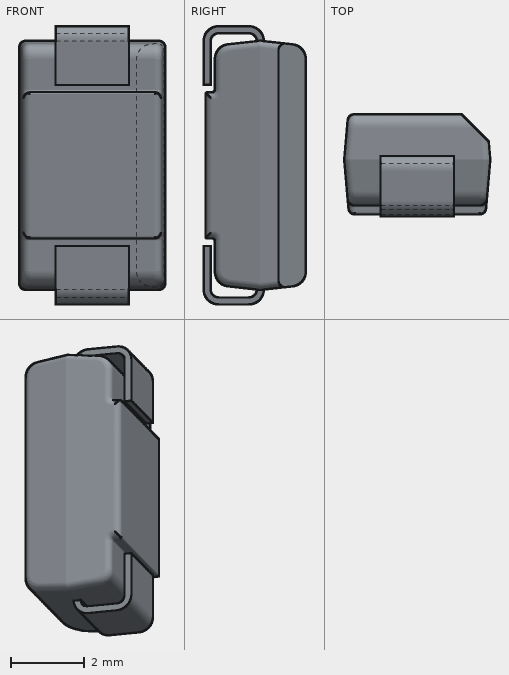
import cadquery as cq
import math

body_width = 4.0
body_height = 6.81
body_depth = 1.25
side_draft = 5.0
end_draft = 6.3
end_radius = 0.42
side_edge_radius = 0.2

pad_front = -1.5
pad_height = 4.0
pad_root_radius = 0.06
pad_edge_radius = 0.06
rough_allowance = 0.76

bevel_start_x = 1.21

tolerance = 0.01
side_normal_limit = 0.9

lead_width = 2.0
lead_thickness = 0.2
lead_back = 0.1
lead_front = -1.55
lead_top = 3.8
lead_tip = 2.2
lead_bend_radius = 0.41
lead_embed = 0.23


def drafted_sides(front_y, height):
    """Prism between the two X sides, each tapering away from the parting plane."""
    draft_slope = math.tan(math.radians(side_draft))
    half_width = body_width / 2
    back_half_width = half_width - body_depth * draft_slope
    front_half_width = half_width + front_y * draft_slope
    return (
        cq.Workplane("XY")
        .polyline([
            (half_width, 0),
            (back_half_width, body_depth),
            (-back_half_width, body_depth),
            (-half_width, 0),
            (-front_half_width, front_y),
            (front_half_width, front_y),
        ])
        .close()
        .extrude(height / 2, both=True)
    )


def make_body():
    """Tapered body with an overlong pad, rounded along the outline of both X sides."""
    half_height = body_height / 2
    end_face_height = half_height - body_depth * math.tan(math.radians(end_draft))
    tapered = (
        cq.Workplane("YZ")
        .polyline([
            (0, half_height),
            (body_depth, end_face_height),
            (body_depth, -end_face_height),
            (0, -half_height),
            (-body_depth, -end_face_height),
            (-body_depth, end_face_height),
        ])
        .close()
        .extrude(body_width / 2, both=True)
    )
    tapered = tapered.edges("|X and (>Y or <Y)").fillet(end_radius)

    rough_front = pad_front - rough_allowance
    pad = cq.Workplane("XY").box(body_width, -rough_front, pad_height).translate((0, rough_front / 2, 0))
    block = tapered.union(pad)
    root_edges = cq.selectors.BoxSelector(
        (-body_width, -body_depth - tolerance, -pad_height / 2 - tolerance),
        (body_width, -body_depth + tolerance, pad_height / 2 + tolerance),
    )
    block = block.edges("|X").edges(root_edges).fillet(pad_root_radius)
    block = block.intersect(drafted_sides(rough_front, body_height))

    outline = []
    for side in (-1, 1):
        side_faces = [f for f in block.faces().vals() if f.normalAt().x * side > side_normal_limit]
        for face in side_faces:
            for edge in face.Edges():
                edge_y = edge.Center().y
                if abs(edge_y) > tolerance and edge_y > rough_front + tolerance:
                    outline.append(edge)
    return block.newObject(outline).fillet(side_edge_radius)


def finish_pad(body):
    """Trim the pad to its front face, rounded towards the X sides and the pad ends."""
    envelope = drafted_sides(pad_front, body_height).faces("<Y").edges("|Z").fillet(side_edge_radius)
    pad_limit = (
        cq.Workplane("XY")
        .box(body_width, -pad_front, pad_height)
        .translate((0, pad_front / 2, 0))
        .faces("<Y").edges("|X").fillet(pad_edge_radius)
    )
    root_depth = body_depth + pad_root_radius
    body_limit = cq.Workplane("XY").box(body_width, 2 * root_depth, body_height)
    return body.intersect(envelope).intersect(body_limit.union(pad_limit))


def bevel_back_corner(body):
    """Cut the back corner on the +X side along the whole height."""
    far_x = bevel_start_x + 2 * body_depth
    cutter = (
        cq.Workplane("XY")
        .polyline([(bevel_start_x, body_depth), (far_x, body_depth), (far_x, -body_depth)])
        .close()
        .extrude(body_height / 2, both=True)
    )
    return body.cut(cutter)


def make_lead():
    """Upper lead: leaves the end of the body and folds down in front of it."""
    root_z = body_height / 2 - lead_embed
    inner_radius = lead_bend_radius - lead_thickness
    back_bend_y = lead_back - lead_bend_radius
    front_bend_y = lead_front + lead_bend_radius
    bend_z = lead_top - lead_bend_radius
    diagonal = math.sqrt(0.5)
    outer = lead_bend_radius * diagonal
    inner = inner_radius * diagonal
    return (
        cq.Workplane("YZ")
        .moveTo(lead_back, root_z)
        .lineTo(lead_back, bend_z)
        .threePointArc((back_bend_y + outer, bend_z + outer), (back_bend_y, lead_top))
        .lineTo(front_bend_y, lead_top)
        .threePointArc((front_bend_y - outer, bend_z + outer), (lead_front, bend_z))
        .lineTo(lead_front, lead_tip)
        .lineTo(lead_front + lead_thickness, lead_tip)
        .lineTo(lead_front + lead_thickness, bend_z)
        .threePointArc((front_bend_y - inner, bend_z + inner), (front_bend_y, lead_top - lead_thickness))
        .lineTo(back_bend_y, lead_top - lead_thickness)
        .threePointArc((back_bend_y + inner, bend_z + inner), (lead_back - lead_thickness, bend_z))
        .lineTo(lead_back - lead_thickness, root_z)
        .close()
        .extrude(lead_width / 2, both=True)
    )


body = bevel_back_corner(finish_pad(make_body()))
upper_lead = make_lead()
lower_lead = upper_lead.mirror("XY")
result = body.union(upper_lead).union(lower_lead)